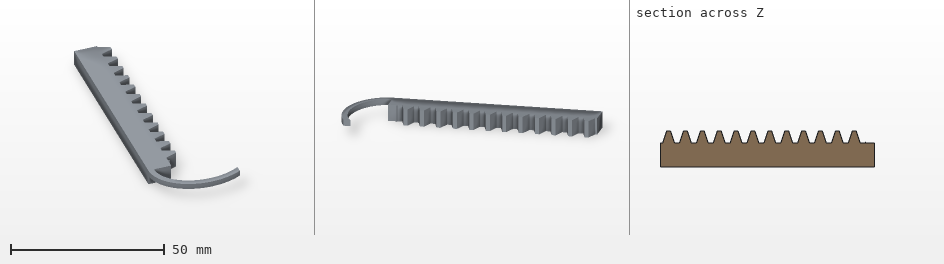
import cadquery as cq

total_length = 82.6
total_width = 27.9
thickness = 5.5

bar_length = 69.8
bar_width = 7.9

tooth_count = 12
first_tooth_x = 2.65
tooth_row_span = 60.5
tooth_pitch = tooth_row_span / (tooth_count - 1)
tooth_base = 4.0
tooth_tip = 1.3
tooth_height = 4.0
partial_tooth_width = 0.25

hook_width = 2.0
hook_thickness = 2.0
hook_radius_x = total_length - bar_length
hook_radius_y = 17.6


def make_tooth(center_x):
    outline = [
        (center_x - tooth_base / 2, bar_width),
        (center_x + tooth_base / 2, bar_width),
        (center_x + tooth_tip / 2, bar_width + tooth_height),
        (center_x - tooth_tip / 2, bar_width + tooth_height),
    ]
    return cq.Workplane("XY").polyline(outline).close().extrude(thickness)


def make_partial_tooth():
    start_x = first_tooth_x + tooth_count * tooth_pitch - tooth_base / 2
    end_x = start_x + partial_tooth_width
    flank_slope = tooth_height / ((tooth_base - tooth_tip) / 2)
    peak_y = bar_width + partial_tooth_width * flank_slope
    outline = [(start_x, bar_width), (end_x, bar_width), (end_x, peak_y)]
    return cq.Workplane("XY").polyline(outline).close().extrude(thickness)


def make_hook():
    ring = (
        cq.Workplane("XY", origin=(bar_length, hook_radius_y, thickness - hook_thickness))
        .ellipse(hook_radius_x, hook_radius_y)
        .ellipse(hook_radius_x - hook_width, hook_radius_y - hook_width)
        .extrude(hook_thickness)
    )
    kept_region = (
        cq.Workplane("XY", origin=(bar_length, 0, 0))
        .rect(hook_radius_x, total_width, centered=False)
        .extrude(thickness)
    )
    return ring.intersect(kept_region)


result = cq.Workplane("XY").rect(bar_length, bar_width, centered=False).extrude(thickness)
for index in range(tooth_count):
    result = result.union(make_tooth(first_tooth_x + index * tooth_pitch))
result = result.union(make_partial_tooth()).union(make_hook())